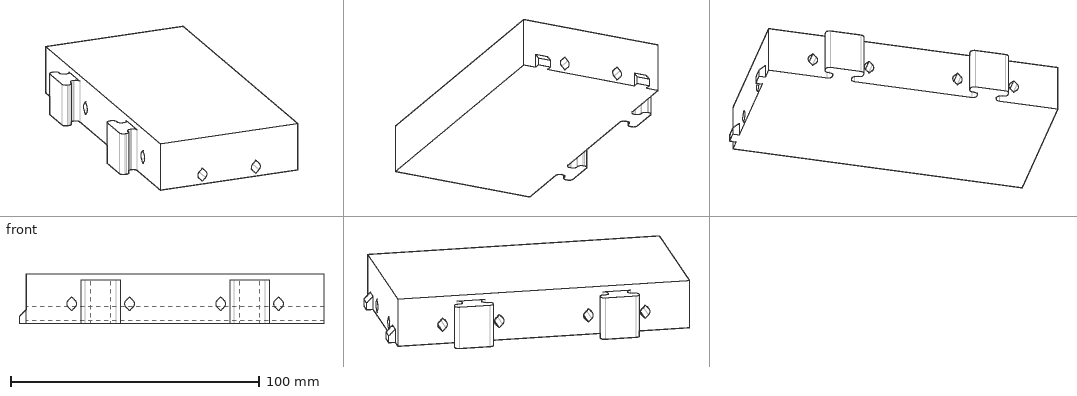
import cadquery as cq
import math

overall_length = 122.7
body_length = 120.0
body_width = 60.0
body_height = 20.0

connector_reach = 8.0
connector_height = 17.5
connector_embed = 1.2
connector_layer = connector_reach / 2
neck_width = connector_reach
foot_width = 2 * connector_reach
connector_round = 1.7
connector_positions = [body_length / 4, body_length * 3 / 4]

hook_reach = overall_length - body_length
hook_width = 5.4
hook_front_height = 3.0
hook_edge_distance = 8.0
hook_positions = [hook_edge_distance, body_width - hook_edge_distance]

hole_radius = 2.0
hole_offset = 11.7
long_hole_height = 4.0
front_hole_height = 8.0
front_hole_depth = 9.8


def make_connector(center_x):
    """T-shaped connector with rounded foot corners and filled neck corners."""
    neck_half = neck_width / 2
    foot_half = foot_width / 2
    flare_half = neck_half + connector_round
    half_profile = (
        cq.Workplane("XY", origin=(center_x, 0, 0))
        .moveTo(0, connector_embed)
        .lineTo(flare_half, connector_embed)
        .lineTo(flare_half, 0)
        .radiusArc((neck_half, -connector_round), -connector_round)
        .lineTo(neck_half, connector_round - connector_layer)
        .radiusArc((flare_half, -connector_layer), -connector_round)
        .lineTo(foot_half - connector_round, -connector_layer)
        .radiusArc((foot_half, -connector_layer - connector_round), connector_round)
        .lineTo(foot_half, connector_round - connector_reach)
        .radiusArc((foot_half - connector_round, -connector_reach), connector_round)
        .lineTo(0, -connector_reach)
        .mirrorY()
    )
    return half_profile.extrude(connector_height)


def make_hook(center_y):
    """Hook whose sloped top rises towards the body."""
    return (
        cq.Workplane("XZ", origin=(0, center_y, 0))
        .moveTo(0, 0)
        .lineTo(-hook_reach, 0)
        .lineTo(-hook_reach, hook_front_height)
        .lineTo(0, hook_front_height + hook_reach)
        .close()
        .extrude(hook_width / 2, both=True)
    )


def make_pointed_hole(plane, depth):
    """Cutter along the plane's normal; its points lie along the plane's local Y."""
    tangent = hole_radius * math.sqrt(0.5)
    tip = hole_radius * math.sqrt(2)
    return (
        cq.Workplane(plane)
        .moveTo(0, tip)
        .lineTo(tangent, tangent)
        .threePointArc((hole_radius, 0), (tangent, -tangent))
        .lineTo(0, -tip)
        .lineTo(-tangent, -tangent)
        .threePointArc((-hole_radius, 0), (-tangent, tangent))
        .close()
        .extrude(depth)
    )


result = cq.Workplane("XY").box(body_length, body_width, body_height, centered=False)

for connector_x in connector_positions:
    result = result.union(make_connector(connector_x))

for hook_y in hook_positions:
    result = result.union(make_hook(hook_y))

for side in (-1, 1):
    hole_y = body_width / 2 + side * hole_offset
    long_plane = cq.Plane.named("YZ", origin=(0, hole_y, long_hole_height))
    result = result.cut(make_pointed_hole(long_plane, body_length))

for connector_x in connector_positions:
    for side in (-1, 1):
        hole_x = connector_x + side * hole_offset
        front_plane = cq.Plane.named("XZ", origin=(hole_x, 0, front_hole_height))
        result = result.cut(make_pointed_hole(front_plane, -front_hole_depth))